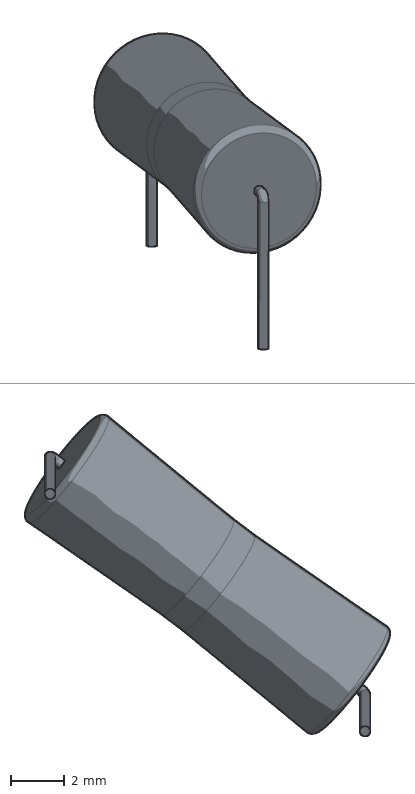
import cadquery as cq

lead_diameter = 0.4
lead_pitch = 15.0
lead_drop = 6.0
bend_radius = 0.25

body_length = 13.9
end_cone_height = 0.06
end_radius = 2.5
waist_radius = 2.25
waist_length = 1.0
rim_radius = 0.25

axis_height = end_radius
lead_embed = 0.5


def make_body():
    """Revolve the half profile: shallow conical ends, rounded rims, tapered flanks, straight waist."""
    tip_x = body_length / 2
    rim_x = tip_x - end_cone_height
    flank_x = rim_x - rim_radius
    waist_x = waist_length / 2
    face_radius = end_radius - rim_radius
    profile = (
        cq.Workplane("XZ")
        .moveTo(-tip_x, 0)
        .lineTo(-rim_x, face_radius)
        .radiusArc((-flank_x, end_radius), rim_radius)
        .lineTo(-waist_x, waist_radius)
        .lineTo(waist_x, waist_radius)
        .lineTo(flank_x, end_radius)
        .radiusArc((rim_x, face_radius), rim_radius)
        .lineTo(tip_x, 0)
        .close()
    )
    body = profile.revolve(360, (0, 0, 0), (1, 0, 0))
    return body.translate((0, 0, axis_height))


def make_lead():
    """Round wire that leaves the -X end face and bends down to the lead tip."""
    lead_x = -lead_pitch / 2
    tip_z = axis_height - lead_drop
    path = (
        cq.Workplane("XZ")
        .moveTo(lead_x, tip_z)
        .lineTo(lead_x, axis_height - bend_radius)
        .radiusArc((lead_x + bend_radius, axis_height), bend_radius)
        .lineTo(-body_length / 2 + lead_embed, axis_height)
    )
    section = cq.Workplane("XY", origin=(lead_x, 0, tip_z)).circle(lead_diameter / 2)
    return section.sweep(path)


left_lead = make_lead()
right_lead = left_lead.mirror("YZ")
result = make_body().union(left_lead).union(right_lead)